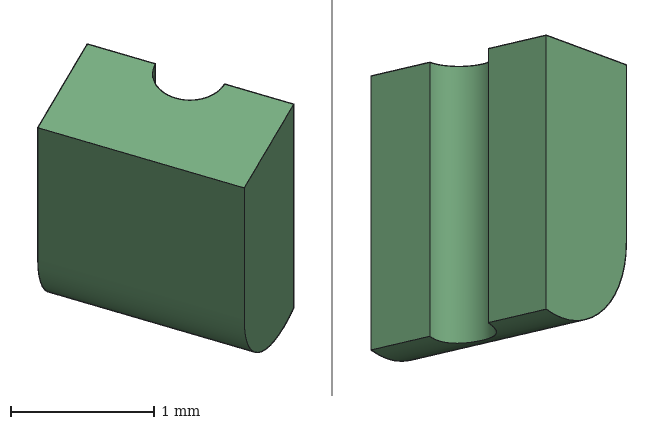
import cadquery as cq

width = 1.56
depth = 0.9
height = 2.02
nose_radius = 0.727

groove_radius = 0.26
groove_offset = -0.005

front_y = -depth / 2
back_y = depth / 2
nose_y = front_y + nose_radius
nose_z = nose_radius


def arc_z(y):
    """Height of the rounded underside at a given depth position."""
    return nose_z - (nose_radius**2 - (y - nose_y) ** 2) ** 0.5


body = (
    cq.Workplane("YZ")
    .moveTo(front_y, height)
    .lineTo(front_y, nose_z)
    .threePointArc((nose_y, 0), (back_y, arc_z(back_y)))
    .lineTo(back_y, height)
    .close()
    .extrude(width / 2, both=True)
)

groove = (
    cq.Workplane("XY")
    .center(groove_offset, back_y)
    .circle(groove_radius)
    .extrude(height)
)

result = body.cut(groove)